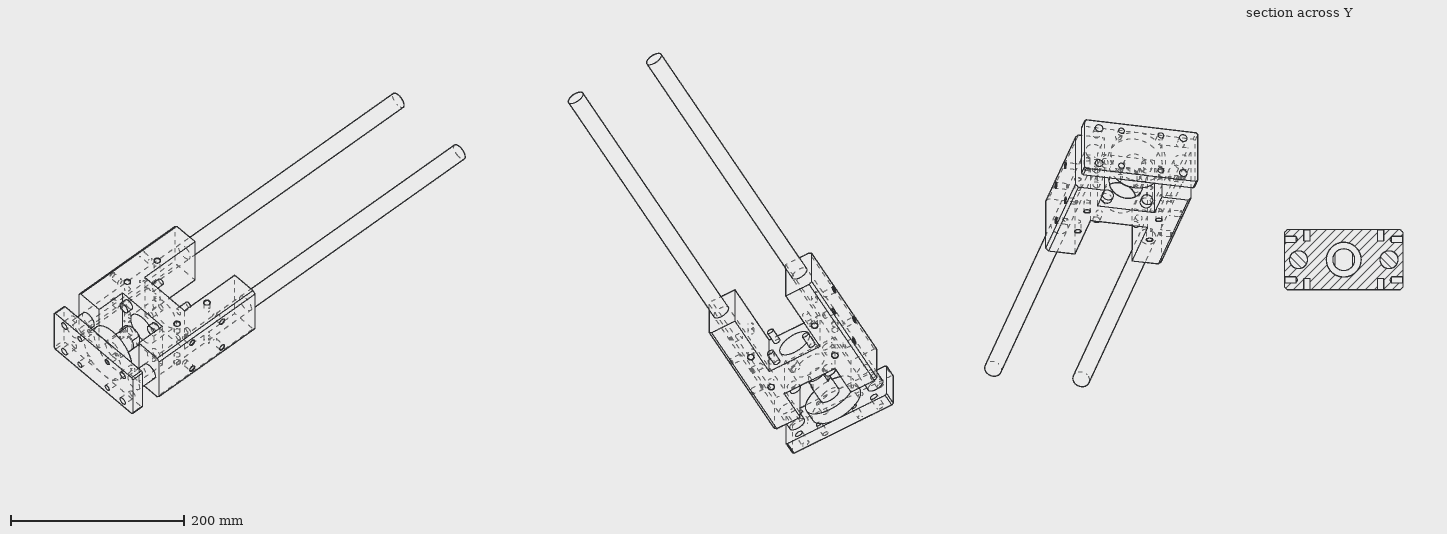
import cadquery as cq
import math

total_length = 525.0

housing_width = 137.0
housing_height = 70.0
housing_length = 150.0
housing_front = 40.0
housing_chamfer = 3.45
opening_width = 67.5
web_thickness = 34.5
web_front = housing_front + 37.0
web_back = web_front + web_thickness
center_bore_diameter = 40.0

pattern_pitch = 46.5
half_pitch = pattern_pitch / 2

mount_hole_diameter = 7.0
mount_hole_depth = 13.0
mount_mouth_diameter = 8.0
drill_point_angle = 118.0
drill_point_depth = mount_hole_diameter / 2 / math.tan(math.radians(drill_point_angle / 2))
mount_hole_front = housing_front + 52.0
top_hole_spacing = 85.0

screw_diameter = 8.0
screw_head_diameter = 13.0
screw_head_height = 8.0
screw_protrusion = 16.0

plate_width = 134.5
plate_height = 65.0
plate_thickness = 15.0
plate_chamfer = 2.0
inner_hole_diameter = 7.0
outer_hole_diameter = 9.0
outer_hole_spacing = 100.0

rod_diameter = 20.0
rod_spacing = 104.5

flange_diameter = 65.0
flange_thickness = 15.0
hub_diameter = 25.0
hub_length = 32.0
flats_width = 20.0
flats_length = 11.0


def cylinder_along_y(diameter, start, length, x=0.0, z=0.0):
    """Cylinder running in +Y from the given start."""
    direction = cq.Vector(0, 1, 0)
    return cq.Workplane(cq.Solid.makeCylinder(diameter / 2, length, cq.Vector(x, start, z), direction))


def block(width, length, height, front):
    """Box centred on X and Z whose front face is at the given Y."""
    return cq.Workplane().box(width, length, height).translate((0, front + length / 2, 0))


def drill(body, position, direction, point_depth=0.0):
    """Blind hole with a 45 degree countersunk mouth and a bottom that is flat at zero point depth."""
    hole_radius = mount_hole_diameter / 2
    mouth_radius = mount_mouth_diameter / 2
    mouth_depth = mouth_radius - hole_radius
    profile = [
        (0, 0),
        (mouth_radius, 0),
        (hole_radius, mouth_depth),
        (hole_radius, mount_hole_depth),
        (0, mount_hole_depth + point_depth),
    ]
    mouth_plane = cq.Plane(origin=position, xDir=(0, 1, 0), normal=direction)
    side_plane = mouth_plane.rotated((90, 0, 0))
    hole = cq.Workplane(side_plane).polyline(profile).close().revolve(360, (0, 0), (0, 1))
    return body.cut(hole)


def make_housing():
    """H-shaped guide housing, one solid with its web screws."""
    housing = block(housing_width, housing_length, housing_height, housing_front)
    housing = housing.edges("|Y").chamfer(housing_chamfer)

    housing_back = housing_front + housing_length
    for start, end in ((housing_front, web_front), (web_back, housing_back)):
        housing = housing.cut(block(opening_width, end - start, housing_height, start))

    housing = housing.cut(cylinder_along_y(center_bore_diameter, web_front, web_thickness))
    for side in (-1, 1):
        bore = cylinder_along_y(rod_diameter, housing_front, housing_length, side * rod_spacing / 2)
        housing = housing.cut(bore)

    for y in (mount_hole_front, mount_hole_front + pattern_pitch):
        for side in (-1, 1):
            for level in (-1, 1):
                top_position = (side * top_hole_spacing / 2, y, level * housing_height / 2)
                housing = drill(housing, top_position, (0, 0, -level))
                side_position = (side * housing_width / 2, y, level * half_pitch)
                housing = drill(housing, side_position, (-side, 0, 0), drill_point_depth)

    for x in (-half_pitch, half_pitch):
        for z in (-half_pitch, half_pitch):
            head_start = web_front - screw_head_height
            head = cylinder_along_y(screw_head_diameter, head_start, screw_head_height, x, z)
            shank = cylinder_along_y(screw_diameter, web_front, web_thickness + screw_protrusion, x, z)
            housing = housing.union(head).union(shank)
    return housing


def make_slide():
    """Front plate with its coupling and the two guide rods."""
    slide = block(plate_width, plate_thickness, plate_height, 0)
    slide = slide.edges("|Y").chamfer(plate_chamfer)

    for diameter, spacing in (
        (inner_hole_diameter, pattern_pitch),
        (outer_hole_diameter, outer_hole_spacing),
    ):
        for x in (-spacing / 2, spacing / 2):
            for z in (-half_pitch, half_pitch):
                slide = slide.cut(cylinder_along_y(diameter, 0, plate_thickness, x, z))

    hub_start = plate_thickness + flange_thickness
    flats_start = hub_start + hub_length - flats_length
    flange = cylinder_along_y(flange_diameter, plate_thickness, flange_thickness)
    hub = cylinder_along_y(hub_diameter, hub_start, hub_length - flats_length)
    hub_end = cylinder_along_y(hub_diameter, flats_start, flats_length)
    hub_end = hub_end.intersect(block(flats_width, flats_length, hub_diameter, flats_start))
    slide = slide.union(flange).union(hub).union(hub_end)

    for x in (-rod_spacing / 2, rod_spacing / 2):
        rod = cylinder_along_y(rod_diameter, plate_thickness, total_length - plate_thickness, x)
        slide = slide.union(rod)
    return slide


housing = make_housing()
slide = make_slide()

result = cq.Compound.makeCompound([housing.val(), slide.val()])